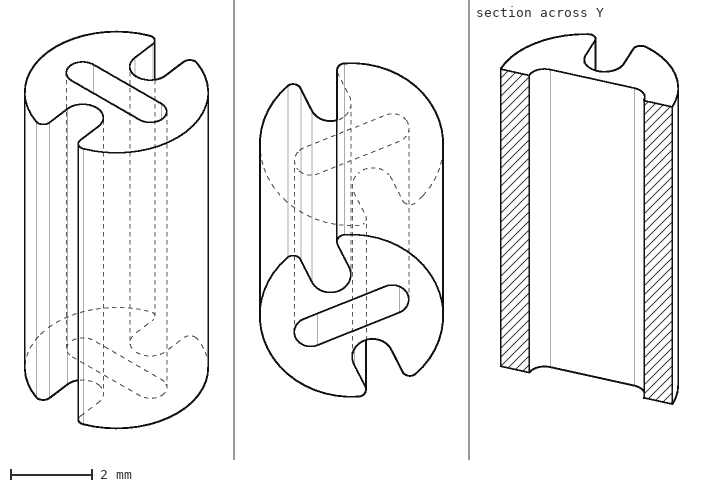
import cadquery as cq

length = 9.0
diameter = 4.5

groove_width = 1.0
groove_floor = 0.76
lip_radius = 0.2

slot_length = 3.0
slot_width = 0.8

body_radius = diameter / 2
groove_radius = groove_width / 2


def make_groove(side):
    """Cutter for the groove on the +Y (side=1) or -Y (side=-1) face."""
    floor_centre = side * (groove_floor + groove_radius)
    mouth = side * diameter
    return (
        cq.Workplane("XY")
        .moveTo(-groove_radius, mouth)
        .lineTo(-groove_radius, floor_centre)
        .threePointArc((0, side * groove_floor), (groove_radius, floor_centre))
        .lineTo(groove_radius, mouth)
        .close()
        .extrude(length)
    )


body = cq.Workplane("XY").circle(body_radius).extrude(length)
for side in (1, -1):
    body = body.cut(make_groove(side))

for side in (1, -1):
    lip_near = side * (groove_floor + groove_width)
    lip_far = side * diameter
    lips = cq.selectors.BoxSelector(
        (-groove_width, lip_near, 0), (groove_width, lip_far, length)
    )
    body = body.edges("|Z").edges(lips).fillet(lip_radius)

slot = cq.Workplane("XY").slot2D(slot_length, slot_width).extrude(length)
result = body.cut(slot)